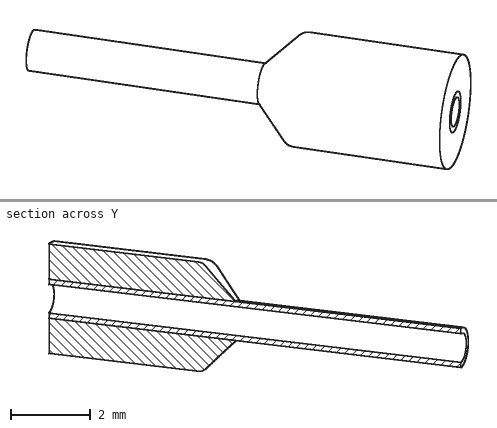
import cadquery as cq

total_length = 11.0
tube_diameter = 1.05
bore_diameter = 0.75

collar_diameter = 2.9
collar_start = 6.01
cone_length = 0.89
shoulder_radius = 0.25

tube_radius = tube_diameter / 2
collar_radius = collar_diameter / 2
collar_length = total_length - collar_start


def make_tube():
    """Straight hollow tube running the full length, open at both ends."""
    return (
        cq.Workplane("YZ")
        .circle(tube_radius)
        .circle(bore_diameter / 2)
        .extrude(total_length)
    )


def make_collar():
    """Cone and cylinder around the tube, with a rounded shoulder between them."""
    cone_end = collar_start + cone_length
    body = (
        cq.Workplane("XY")
        .moveTo(collar_start, 0)
        .lineTo(collar_start, tube_radius)
        .lineTo(cone_end, collar_radius)
        .lineTo(total_length, collar_radius)
        .lineTo(total_length, 0)
        .close()
        .revolve(360, (0, 0, 0), (1, 0, 0))
    )
    shoulder = cq.selectors.NearestToPointSelector((cone_end, 0, 0))
    body = body.edges("%CIRCLE").edges(shoulder).fillet(shoulder_radius)
    tube_hole = (
        cq.Workplane("YZ", origin=(collar_start, 0, 0))
        .circle(tube_radius)
        .extrude(collar_length)
    )
    return body.cut(tube_hole)


tube = make_tube()
collar = make_collar()

result = cq.Compound.makeCompound([tube.val(), collar.val()])